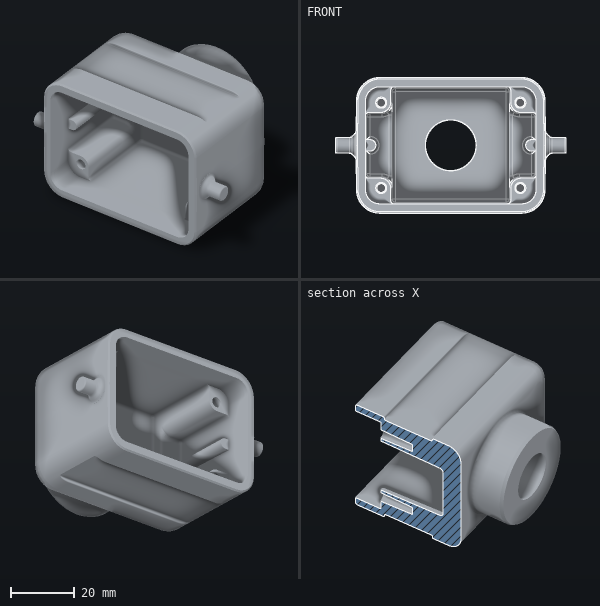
import cadquery as cq
import math


body_width = 60.0
body_height = 43.0
body_depth = 40.0
side_crown = 0.25
corner_radius = 7.5
back_radius = 5.0
rim_chamfer = 0.5

neck_radius = 17.0
neck_length = 12.5
neck_chamfer_length = 1.1
neck_chamfer_depth = 0.5
neck_root_fillet = 0.9
cable_hole_diameter = 16.0

wall = 3.0
mouth_depth = 9.5
pocket_width = 38.0
pocket_floor = body_depth - wall
side_slot_height = 20.8
side_slot_floor = 33.0
draft_angle = 1.0
boss_corner_radius = 3.2
floor_fillet = 1.0
cavity_corner_fillet = 1.1

screw_x = 22.0
screw_z = 13.5
screw_mouth_diameter = 3.5
screw_hole_diameter = 2.8
screw_hole_depth = 12.0

rib_radius = 1.8
rib_center_x = 25.5

label_length = 18.6
label_center_y = body_depth / 2
label_depth = 1.2
label_edge_fillet = 0.3

pin_span = 73.0
pin_radius = 2.5
pin_y = 6.2
pin_base_radius = 4.6
pin_blend_radius = 1.3
pin_tip_fillet = 0.45

tolerance = 0.01

inner_width = body_width - 2 * wall
inner_height = body_height - 2 * wall


def facing_back(y):
    """Workplane at the given Y whose extrusions run towards +Y."""
    return cq.Workplane(cq.Plane(origin=(0, y, 0), xDir=(1, 0, 0), normal=(0, 1, 0)))


def outer_body():
    half_width = body_width / 2
    half_height = body_height / 2
    corner_x = half_width - side_crown
    outline = [
        (half_width, 0),
        (corner_x, half_height),
        (-corner_x, half_height),
        (-half_width, 0),
        (-corner_x, -half_height),
        (corner_x, -half_height),
    ]
    body = facing_back(0).polyline(outline).close().extrude(body_depth)
    for side in (">Z", "<Z"):
        body = body.edges("|Y").edges(side).fillet(corner_radius)
    body = body.faces(">Y").edges().fillet(back_radius)
    return body.faces("<Y").edges().chamfer(rim_chamfer)


def add_neck(body):
    root_y = body_depth - back_radius
    end_y = body_depth + neck_length
    neck = facing_back(root_y).circle(neck_radius).extrude(end_y - root_y)
    neck = neck.faces(">Y").edges().chamfer(neck_chamfer_length, neck_chamfer_depth)
    joined = body.union(neck)

    seam = [edge for edge in joined.edges().vals() if is_neck_seam(edge)]
    return joined.newObject(seam).fillet(neck_root_fillet)


def is_neck_seam(edge):
    start = edge.startPoint()
    end = edge.endPoint()
    on_neck = all(abs(math.hypot(p.x, p.z) - neck_radius) < tolerance for p in (start, end))
    return on_neck and max(start.y, end.y) < body_depth + tolerance


def cable_hole():
    return facing_back(0).circle(cable_hole_diameter / 2).extrude(body_depth + neck_length)


def cavity():
    """Cutter for the hollow: open mouth, deep middle pocket and two shallower side slots."""
    mouth = facing_back(0).rect(inner_width, inner_height).extrude(mouth_depth)
    mouth = mouth.edges("|Y").fillet(corner_radius - wall)

    pocket_depth = pocket_floor - mouth_depth
    slot_depth = side_slot_floor - mouth_depth
    draft_shift = pocket_depth * math.tan(math.radians(draft_angle))
    pocket = facing_back(mouth_depth).rect(pocket_width, inner_height)
    pocket = pocket.extrude(pocket_depth, taper=draft_angle)
    pocket = pocket.edges("not #Y").fillet(cavity_corner_fillet)
    slot = facing_back(mouth_depth).rect(inner_width, side_slot_height)
    slot = slot.extrude(slot_depth, taper=draft_angle)
    slot = slot.edges("not #Y").fillet(cavity_corner_fillet)
    slot = slot.cut(ribs())
    inside = pocket.union(slot)

    for x_side in (-1, 1):
        for z_side in (-1, 1):
            corner = (x_side * pocket_width / 2, z_side * side_slot_height / 2)
            low = (corner[0] - draft_shift, mouth_depth, corner[1] - draft_shift)
            high = (corner[0] + draft_shift, side_slot_floor, corner[1] + draft_shift)
            inside = inside.edges(cq.selectors.BoxSelector(low, high)).fillet(boss_corner_radius)
    inside = inside.faces(">Y").edges().fillet(floor_fillet)
    slot_floor_zone = cq.selectors.BoxSelector(
        (-inner_width, side_slot_floor - tolerance, -inner_height),
        (inner_width, side_slot_floor + tolerance, inner_height),
    )
    inside = inside.faces(slot_floor_zone).edges().fillet(floor_fillet)

    return mouth.union(inside)


def ribs():
    """Half-round ribs that stay standing against the end walls of the side slots."""
    rib_length = side_slot_floor - mouth_depth
    reach = inner_width / 2 - rib_center_x
    rounded = facing_back(mouth_depth).center(rib_center_x, 0).circle(rib_radius).extrude(rib_length)
    root = facing_back(mouth_depth).center(rib_center_x + reach / 2, 0).rect(reach, 2 * rib_radius)
    rib = rounded.union(root.extrude(rib_length))
    return rib.union(rib.mirror("YZ"))


def screw_holes():
    narrowing = (screw_mouth_diameter - screw_hole_diameter) / 2
    tip_taper = math.degrees(math.atan2(narrowing, screw_hole_depth))
    corners = [(x, z) for x in (-screw_x, screw_x) for z in (-screw_z, screw_z)]
    holes = facing_back(mouth_depth).pushPoints(corners).circle(screw_mouth_diameter / 2)
    return holes.extrude(screw_hole_depth, taper=tip_taper)


def cut_label_recesses(body):
    """Cut a channel along X into the +Z and -Z faces and round the edges of its end walls."""
    wall_offset = label_length / 2 - label_edge_fillet
    floor_z = body_height / 2 - label_depth
    channel = cq.Workplane("XY").box(body_width, 2 * wall_offset, 2 * label_depth)
    for side in (-1, 1):
        body = body.cut(channel.translate((0, label_center_y, side * body_height / 2)))
        for wall_y in (label_center_y - wall_offset, label_center_y + wall_offset):
            zone = sorted((side * (floor_z - tolerance), side * body_height))
            low = (-body_width, wall_y - tolerance, zone[0])
            high = (body_width, wall_y + tolerance, zone[1])
            body = body.edges(cq.selectors.BoxSelector(low, high)).fillet(label_edge_fillet)
    return body


def pin():
    """Pin on the +X side with a 45 degree flared foot blended by two arcs."""
    tip_x = pin_span / 2
    face_x = body_width / 2
    root_x = face_x - wall / 2
    flare = math.radians(45)
    half_flare = flare / 2
    bend_along = pin_blend_radius * math.sin(flare)
    bend_across = pin_blend_radius * (1 - math.cos(flare))
    mid_along = pin_blend_radius * math.sin(half_flare)
    mid_across = pin_blend_radius * (1 - math.cos(half_flare))

    cone_end = (face_x + bend_across, pin_base_radius - bend_along)
    cone_start_r = pin_radius + bend_across
    cone_start = (cone_end[0] + cone_end[1] - cone_start_r, cone_start_r)
    foot_mid = (face_x + mid_across, pin_base_radius - mid_along)
    shank_end = (cone_start[0] + bend_along, pin_radius)
    shank_mid = (shank_end[0] - mid_along, pin_radius + mid_across)

    solid = (
        cq.Workplane("XY")
        .moveTo(root_x, 0)
        .lineTo(root_x, pin_base_radius)
        .lineTo(face_x, pin_base_radius)
        .threePointArc(foot_mid, cone_end)
        .lineTo(*cone_start)
        .threePointArc(shank_mid, shank_end)
        .lineTo(tip_x, pin_radius)
        .lineTo(tip_x, 0)
        .close()
        .revolve(360, (0, 0, 0), (1, 0, 0))
        .faces(">X")
        .edges()
        .fillet(pin_tip_fillet)
    )
    return solid.translate((0, pin_y, 0))


locking_pin = pin()

result = cut_label_recesses(add_neck(outer_body()))
result = result.union(locking_pin).union(locking_pin.mirror("YZ"))
result = result.cut(cavity()).cut(screw_holes()).cut(cable_hole())